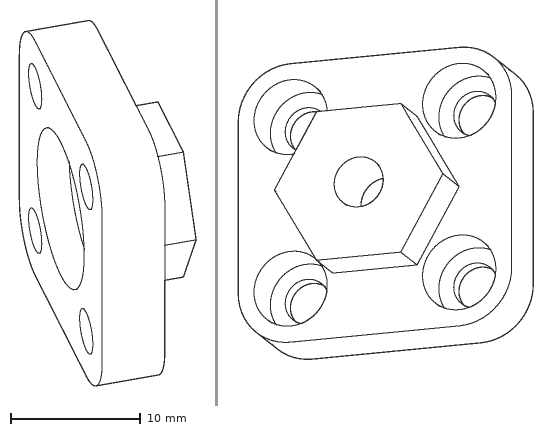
import cadquery as cq

flange_side = 22.47
flange_thickness = 5.08
corner_radius = 4.31

overall_depth = 8.9
hex_across_corners = 13.85
hex_height = overall_depth - flange_thickness

bore_diameter = 4.02
recess_diameter = 12.75
recess_depth = 2.58
bolt_hole_diameter = 3.57
counterbore_diameter = 6.02
counterbore_depth = 3.82
bolt_spacing = flange_side - 2 * corner_radius


def plane_at(y):
    """XZ work plane at depth y, with extrusions running towards +Y."""
    return cq.Workplane(cq.Plane(origin=(0, y, 0), xDir=(1, 0, 0), normal=(0, 1, 0)))


flange = (
    plane_at(0)
    .rect(flange_side, flange_side)
    .extrude(flange_thickness)
    .edges("|Y")
    .fillet(corner_radius)
)

hex_boss = plane_at(flange_thickness).polygon(6, hex_across_corners).extrude(hex_height)

recess = plane_at(0).circle(recess_diameter / 2).extrude(recess_depth)

bore = plane_at(0).circle(bore_diameter / 2).extrude(overall_depth)


def holes_at_bolts(diameter, start, depth):
    """Four cylinders on the bolt pattern, running from y = start towards +Y."""
    return (
        plane_at(start)
        .rect(bolt_spacing, bolt_spacing, forConstruction=True)
        .vertices()
        .circle(diameter / 2)
        .extrude(depth)
    )


bolt_holes = holes_at_bolts(bolt_hole_diameter, 0, flange_thickness)

counterbore_floor = flange_thickness - counterbore_depth
counterbores = holes_at_bolts(counterbore_diameter, counterbore_floor, counterbore_depth)

flange = flange.cut(bolt_holes).cut(counterbores)
result = flange.union(hex_boss).cut(recess).cut(bore)